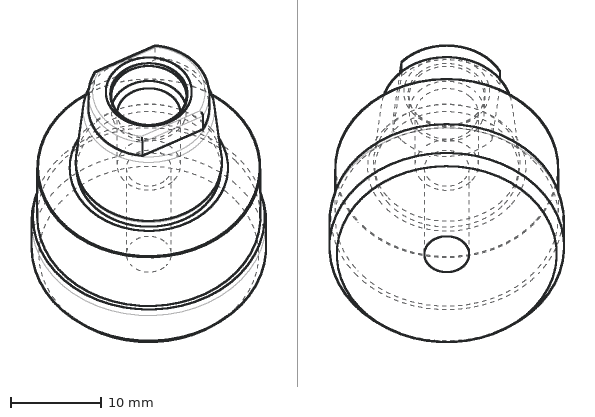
import cadquery as cq

total_height = 29.95
base_chamfer_height = 1.35
collar_edge_height = 6.0
collar_height = 6.9
shoulder_height = 15.95
stem_wide_height = 16.92
stem_height = 27.0

base_radius = 12.2
collar_radius = 26.03 / 2
collar_top_radius = 12.85
body_radius = 12.37
neck_radius = 8.0
stem_wide_radius = 8.12
stem_top_radius = 7.25
head_radius = 6.7

body_chamfer = 0.1
stem_fillet = 0.45
head_fillet = 0.48
recess_outer_radius = 8.78
recess_depth = 0.27
neck_straight_height = 0.5

half_across_flats = 5.5
flat_normal_angle = -30.0

mouth_radius = 4.75
mouth_inner_radius = 4.28
mouth_depth = 0.42
upper_bore_radius = 4.15
relief_depth = 0.78
upper_bore_depth = 3.53
middle_bore_radius = 3.5
middle_bore_start = 4.0
middle_bore_depth = 13.48
through_radius = 2.5
bore_cone_height = 0.6


def revolve_profile(points):
    """Revolve a closed outline of (radius, height) points about Z."""
    return cq.Workplane("XZ").polyline(points).close().revolve(360, (0, 0, 0), (0, 1, 0))


def make_body():
    """Collar, cylindrical body and the shallow conical recess around the neck."""
    return revolve_profile([
        (0, 0),
        (base_radius, 0),
        (collar_radius, base_chamfer_height),
        (collar_radius, collar_edge_height),
        (collar_top_radius, collar_height),
        (body_radius, collar_height),
        (body_radius, shoulder_height - body_chamfer),
        (body_radius - body_chamfer, shoulder_height),
        (recess_outer_radius, shoulder_height),
        (neck_radius, shoulder_height - recess_depth),
        (0, shoulder_height - recess_depth),
    ])


def make_stem():
    """Tapered stem rising out of the recess, rounded at its top edge."""
    stem = revolve_profile([
        (0, shoulder_height - recess_depth),
        (neck_radius, shoulder_height - recess_depth),
        (neck_radius, shoulder_height + neck_straight_height),
        (stem_wide_radius, stem_wide_height),
        (stem_top_radius, stem_height),
        (0, stem_height),
    ])
    return stem.faces(">Z").edges().fillet(stem_fillet)


def make_head():
    """Round head with two opposite wrench flats and a rounded top edge."""
    head_height = total_height - stem_height
    head = cq.Workplane("XY").circle(head_radius).extrude(head_height)
    between_flats = cq.Workplane("XY").box(
        2 * half_across_flats, 2 * head_radius, head_height, centered=(True, True, False)
    )
    head = head.intersect(between_flats).faces(">Z").edges().fillet(head_fillet)
    return head.rotate((0, 0, 0), (0, 0, 1), flat_normal_angle).translate((0, 0, stem_height))


def make_bore():
    """Stepped hole through the whole part, with conical transitions."""
    through_start = middle_bore_depth + bore_cone_height
    return revolve_profile([
        (0, total_height),
        (mouth_radius, total_height),
        (mouth_inner_radius, total_height - mouth_depth),
        (upper_bore_radius, total_height - relief_depth),
        (upper_bore_radius, total_height - upper_bore_depth),
        (middle_bore_radius, total_height - middle_bore_start),
        (middle_bore_radius, total_height - middle_bore_depth),
        (through_radius, total_height - through_start),
        (through_radius, 0),
        (0, 0),
    ])


result = make_body().union(make_stem()).union(make_head()).cut(make_bore())